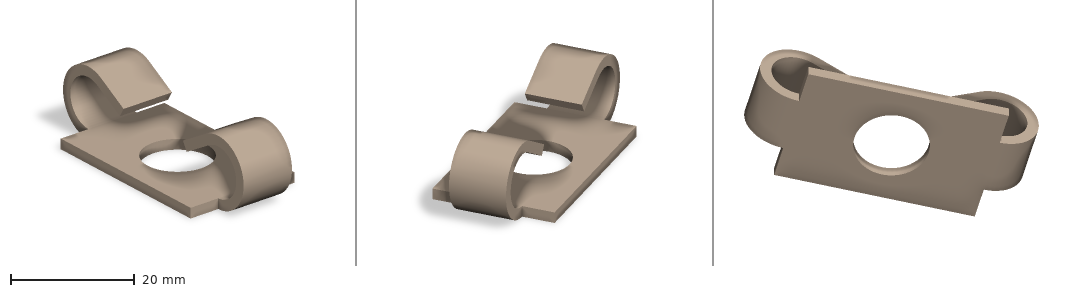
import cadquery as cq
import math

overall_length = 46.6
plate_length = 33.5
plate_width = 21.5
thickness = 1.9
hole_diameter = 12.4
strap_width = 10.0
lip_length = 6.7
lip_slope = math.radians(30)

outer_radius = (overall_length - plate_length) / 2
inner_radius = outer_radius - thickness
curl_x = plate_length / 2
curl_z = outer_radius


def curl_point(radius, angle):
    """Point on the right-hand curl, with the angle measured from +X."""
    return (curl_x + radius * math.cos(angle), curl_z + radius * math.sin(angle))


def lip_tip(start):
    """Far end of a lip edge that runs inward and down from the curl."""
    return (
        start[0] - lip_length * math.cos(lip_slope),
        start[1] - lip_length * math.sin(lip_slope),
    )


def make_plate():
    """Flat base with a central through hole, resting on Z = 0."""
    plate = cq.Workplane("XY").rect(plate_length, plate_width).extrude(thickness)
    hole = cq.Workplane("XY").circle(hole_diameter / 2).extrude(thickness)
    return plate.cut(hole)


def make_clip():
    """Right-hand strap: a curl from the plate end, then a straight lip."""
    curl_end = math.pi / 2 + lip_slope
    outer_end = curl_point(outer_radius, curl_end)
    inner_end = curl_point(inner_radius, curl_end)
    return (
        cq.Workplane("XZ")
        .moveTo(curl_x, 0)
        .threePointArc(curl_point(outer_radius, 0), outer_end)
        .lineTo(*lip_tip(outer_end))
        .lineTo(*lip_tip(inner_end))
        .lineTo(*inner_end)
        .threePointArc(curl_point(inner_radius, 0), (curl_x, thickness))
        .close()
        .extrude(strap_width / 2, both=True)
    )


right_clip = make_clip()
left_clip = right_clip.mirror("YZ")
result = make_plate().union(right_clip).union(left_clip)